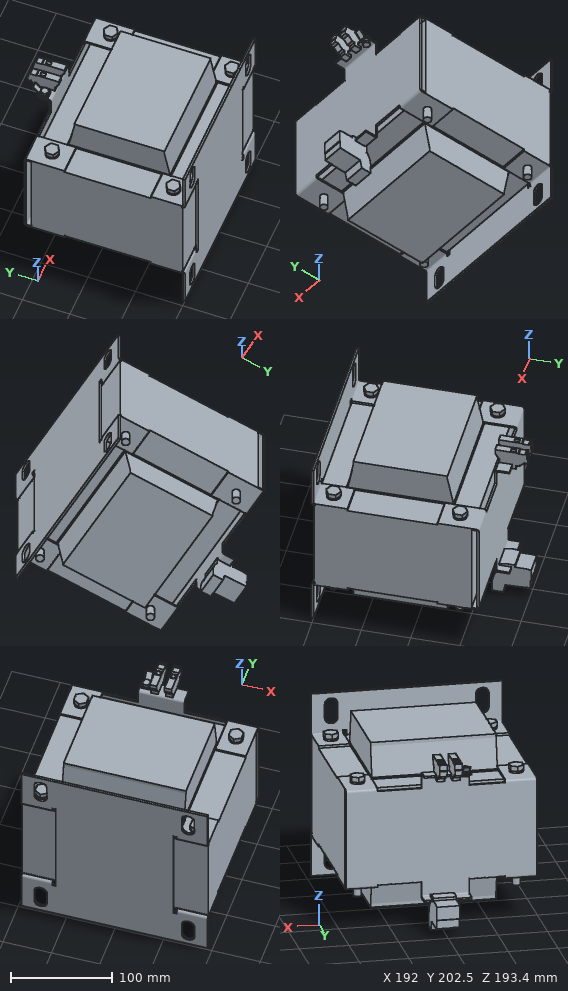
import cadquery as cq
import math

width = 192.0
half_width = width / 2

core_half_height = 50.2
core_rear = 162.3

coil_half_width = 63.1
coil_half_height = 86.2
coil_base_front, coil_base_rear = 28.3, 136.5
coil_end_front, coil_end_rear = 34.6, 130.0
coil_rim_height = 3.8
collar_overhang = 0.6
collar_height = 1.6

plate_height = 190.3
plate_thickness = 2.5
slot_width = 13.2
slot_length = 26.3
slot_x, slot_z = 76.1, 76.1
flange_inner_x = 64.2
front_flange_length = 36.5
relief_inner_x = 60.5
relief_half_height = 55.3
front_bend_radius = 3.6

rear_face = 169.8
rear_thickness = 2.2
rear_front_face = rear_face - rear_thickness
rear_flange_thickness = 1.8
rear_flange_length = 42.3
rear_bend_radius = 3.0
rear_half_height = core_half_height + rear_flange_thickness
rear_plate_half_height = rear_half_height - rear_bend_radius
tray_left, tray_right = -28.0, 20.0
tray_half_height = 65.8
tray_length = 14.8
tray_thickness = 1.8

bolt_x = 80.0
bolt_diameter = 8.0
head_flats = 13.2
head_height = 5.3
washer_diameter = 13.5
washer_height = 1.8
front_bolt_y, rear_bolt_y = 18.6, 146.7
front_bolt_tip, rear_bolt_tip = -65.4, -66.4

earth_x, earth_y = -22.0, 176.9
earth_head_diameter = 7.9
earth_head_height = 3.2
lug_width = 8.5
lug_length = 9.7
lug_thickness = 1.5
tongue_width = 6.9
tongue_rise = 6.9
tongue_offset = 0.6
earth_nut_height = 2.2

upper_terminal_width = 7.5
upper_terminal_lefts = (-15.2, 0.2)
lower_terminal_half_width = 11.5
pocket_x, pocket_y = 4.0, 5.0
pocket_depth = 0.8
pocket_centre_y = 182.8
terminal_top = 81.4


def block(x0, x1, y0, y1, z0, z1):
    """Box given by its limits along X, Y and Z."""
    return cq.Workplane("XY").box(x1 - x0, y1 - y0, z1 - z0, centered=False).translate((x0, y0, z0))


def along_x(profile, x0, x1):
    """Extrude a closed YZ profile from x0 to x1."""
    return profile.extrude(x1 - x0).translate((x0, 0, 0))


def folded_strip(corner, run_y, run_z, thick_y, thick_z, radius, x0, x1):
    """L-shaped sheet strip; corner is its sharp outer corner, run_y and run_z are signed leg lengths.

    thick_z is the thickness of the leg along Y, thick_y that of the leg along Z.
    """
    y, z = corner
    sign_y = math.copysign(1, run_y)
    sign_z = math.copysign(1, run_z)
    inner_radius = radius - max(thick_y, thick_z)

    def point(a, b):
        return (y + sign_y * a, z + sign_z * b)

    outer_mid = radius * (1 - math.sqrt(0.5))
    inner_mid = inner_radius * (1 - math.sqrt(0.5))
    profile = (
        cq.Workplane("YZ")
        .moveTo(*point(radius, 0))
        .lineTo(*point(abs(run_y), 0))
        .lineTo(*point(abs(run_y), thick_z))
        .lineTo(*point(thick_y + inner_radius, thick_z))
        .threePointArc(
            point(thick_y + inner_mid, thick_z + inner_mid),
            point(thick_y, thick_z + inner_radius),
        )
        .lineTo(*point(thick_y, abs(run_z)))
        .lineTo(*point(0, abs(run_z)))
        .lineTo(*point(0, radius))
        .threePointArc(point(outer_mid, outer_mid), point(radius, 0))
        .close()
    )
    return along_x(profile, x0, x1)


def flange_spans():
    """X limits of the left and right flanges."""
    return ((-half_width, -flange_inner_x), (flange_inner_x, half_width))


def make_core():
    return block(-half_width, half_width, plate_thickness, core_rear, -core_half_height, core_half_height)


def make_coil():
    rim_base = coil_half_height - coil_rim_height
    upper_half = cq.Workplane("YZ").polyline([
        (coil_base_front, 0),
        (coil_base_front, core_half_height),
        (coil_end_front, rim_base),
        (coil_end_front, coil_half_height),
        (coil_end_rear, coil_half_height),
        (coil_end_rear, rim_base),
        (coil_base_rear, core_half_height),
        (coil_base_rear, 0),
    ]).close()
    upper_coil = along_x(upper_half, -coil_half_width, coil_half_width)
    collar_half_width = coil_half_width + collar_overhang
    collar_half_height = core_half_height + collar_height
    collar = block(
        -collar_half_width, collar_half_width,
        coil_base_front - collar_overhang, coil_base_rear + collar_overhang,
        -collar_half_height, collar_half_height,
    )
    return collar.union(upper_coil).union(upper_coil.mirror("XY"))


def make_mounting_plate():
    half_height = plate_height / 2
    plate = block(-half_width, half_width, 0, plate_thickness, -half_height, half_height)
    slots = (
        cq.Workplane("XZ")
        .rect(2 * slot_x, 2 * slot_z, forConstruction=True)
        .vertices()
        .slot2D(slot_length, slot_width, 90)
        .extrude(-plate_thickness)
    )
    plate = plate.cut(slots)
    for x0, x1 in ((-half_width, -relief_inner_x), (relief_inner_x, half_width)):
        plate = plate.cut(block(x0, x1, 0, plate_thickness, -relief_half_height, relief_half_height))
    for x0, x1 in flange_spans():
        for side in (-1, 1):
            plate = plate.union(folded_strip(
                (0, side * core_half_height), front_flange_length,
                side * (relief_half_height - core_half_height),
                plate_thickness, plate_thickness, front_bend_radius, x0, x1,
            ))
    return plate


def make_rear_bracket():
    bracket = block(
        -flange_inner_x, flange_inner_x, rear_front_face, rear_face,
        -rear_plate_half_height, rear_plate_half_height,
    )
    for side in (-1, 1):
        for x0, x1 in flange_spans():
            bracket = bracket.union(folded_strip(
                (rear_face, side * rear_half_height), -rear_flange_length, -side * rear_half_height,
                rear_thickness, rear_flange_thickness, rear_bend_radius, x0, x1,
            ))
        bracket = bracket.union(folded_strip(
            (rear_front_face, side * tray_half_height), tray_length,
            -side * (tray_half_height - rear_plate_half_height),
            rear_thickness, tray_thickness, front_bend_radius, tray_left, tray_right,
        ))
    return bracket


def make_bolt(x, y, seat, tip):
    """Hex bolt standing on a flange at height seat, with its thread ending at tip."""
    washer = cq.Workplane("XY", origin=(x, y, seat)).circle(washer_diameter / 2).extrude(washer_height)
    corner_diameter = head_flats / math.cos(math.pi / 6)
    head = (
        cq.Workplane("XY")
        .polygon(6, corner_diameter)
        .extrude(head_height)
        .rotate((0, 0, 0), (0, 0, 1), 30)
        .translate((x, y, seat + washer_height))
    )
    shank = cq.Workplane("XY", origin=(x, y, tip)).circle(bolt_diameter / 2).extrude(seat - tip)
    return washer.union(head).union(shank)


def make_upper_terminal(left):
    """Narrow terminal block clipped over the edge of the upper tray."""
    profile = cq.Workplane("YZ").polyline([
        (197.1, terminal_top),
        (195.5, terminal_top),
        (195.1, 80.5),
        (189.0, 80.5),
        (188.2, terminal_top),
        (165.0, terminal_top),
        (165.0, 76.7),
        (169.2, 69.5),
        (169.2, 64.8),
        (178.0, 64.8),
        (178.0, 60.5),
        (186.0, 60.5),
        (186.0, 64.5),
        (189.2, 64.5),
        (194.3, 69.6),
        (198.0, 69.6),
        (198.0, 75.0),
        (197.1, 75.7),
    ]).close()
    body = along_x(profile, left, left + upper_terminal_width)
    middle = left + upper_terminal_width / 2
    pocket = block(
        middle - pocket_x / 2, middle + pocket_x / 2,
        pocket_centre_y - pocket_y / 2, pocket_centre_y + pocket_y / 2,
        terminal_top - pocket_depth, terminal_top,
    )
    return body.cut(pocket)


def make_lower_terminal():
    """Wide terminal block around the lower tray, with a curved foot reaching under the core."""
    profile = (
        cq.Workplane("YZ")
        .moveTo(202.5, -64.5)
        .lineTo(198.8, -63.5)
        .lineTo(186.0, -63.5)
        .lineTo(186.0, -61.0)
        .lineTo(177.3, -60.5)
        .lineTo(171.0, -62.0)
        .lineTo(167.5, -62.7)
        .lineTo(167.5, -72.5)
        .threePointArc((164.0, -80.0), (162.7, -87.6))
        .lineTo(162.7, -98.2)
        .lineTo(174.0, -98.2)
        .lineTo(176.0, -88.7)
        .lineTo(189.0, -88.2)
        .lineTo(201.5, -87.5)
        .lineTo(201.5, -78.5)
        .lineTo(202.5, -78.5)
        .close()
    )
    return along_x(profile, -lower_terminal_half_width, lower_terminal_half_width)


def make_earth_screw():
    """Screw with nut clamping a square lug whose tongue rises at 45 degrees."""
    lug_top = tray_half_height + lug_thickness
    edge = earth_y + lug_length / 2
    lug = block(
        earth_x - lug_width / 2, earth_x + lug_width / 2,
        earth_y - lug_length / 2, edge,
        tray_half_height, lug_top,
    )
    tongue_profile = cq.Workplane("YZ").polyline([
        (edge - 2 * tongue_offset, lug_top - 2 * tongue_offset),
        (edge + tongue_rise, lug_top + tongue_rise),
        (edge + tongue_rise - tongue_offset, lug_top + tongue_rise + tongue_offset),
        (edge - 3 * tongue_offset, lug_top - tongue_offset),
    ]).close()
    tongue = along_x(tongue_profile, earth_x - tongue_width / 2, earth_x + tongue_width / 2)
    head = (
        cq.Workplane("XY", origin=(earth_x, earth_y, lug_top))
        .circle(earth_head_diameter / 2)
        .extrude(earth_head_height)
    )
    nut = (
        cq.Workplane("XY", origin=(earth_x, earth_y, tray_half_height - tray_thickness))
        .polygon(6, earth_head_diameter)
        .extrude(-earth_nut_height)
    )
    return lug.union(tongue).union(head).union(nut)


result = make_core().union(make_coil()).union(make_mounting_plate()).union(make_rear_bracket())
for bolt_side in (-bolt_x, bolt_x):
    result = result.union(
        make_bolt(bolt_side, front_bolt_y, core_half_height + plate_thickness, front_bolt_tip)
    )
    result = result.union(make_bolt(bolt_side, rear_bolt_y, rear_half_height, rear_bolt_tip))
for terminal_left in upper_terminal_lefts:
    result = result.union(make_upper_terminal(terminal_left))
result = result.union(make_lower_terminal()).union(make_earth_screw())